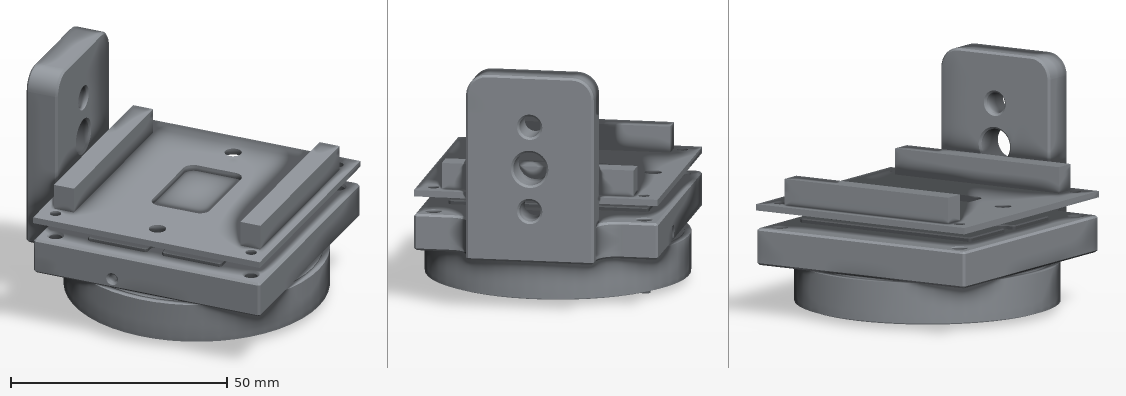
import cadquery as cq
import math


OVERALL_LENGTH = 67.4
EDGE_CHAMFER = 0.5

RING_DIAMETER = 61.7
RING_FACE_DIAMETER = 58.7
RING_THICKNESS = 10.25
RING_TOP_STEP = 0.3
RING_BOTTOM_STEP = 0.5
SPIGOT_DIAMETER = 46.7
SPIGOT_HEIGHT = 5.0
LOCK_PIN_DIAMETER = 2.3
LOCK_PIN_LENGTH = 1.0
LOCK_PIN_RADIUS = 26.55
LOCK_PIN_ANGLE = -120.0

PLATE_SIDE = 57.3
PLATE_THICKNESS = 8.6
UPRIGHT_WIDTH = 30.0
UPRIGHT_HEIGHT = 44.0
UPRIGHT_CORNER_RADIUS = 5.0
FLARE_RADIUS = 5.0
GUSSET_LEG = 2.0
UPRIGHT_OUTER_X = RING_DIAMETER / 2 - OVERALL_LENGTH
UPRIGHT_INNER_X = -PLATE_SIDE / 2
UPRIGHT_THICKNESS = UPRIGHT_INNER_X - UPRIGHT_OUTER_X

UPRIGHT_HOLE_SPACING = 10.0
UPRIGHT_CENTRE_HOLE_Z = 22.1
UPRIGHT_CENTRE_HOLE_DIAMETER = 7.8
UPRIGHT_SIDE_HOLE_DIAMETER = 5.0

CORNER_HOLE_SPACING = 49.5
PLATE_CORNER_HOLE_DIAMETER = 3.0
RECESS_DIAMETER = 47.0
SET_SCREW_DIAMETER = 2.0
SET_SCREW_X = -8.7
SET_SCREW_Z = 2.35

SENSOR_CENTRE_Y = -0.8
SENSOR_WIDTH = 33.85
SENSOR_LENGTH = 47.0
SENSOR_THICKNESS = 1.0
SENSOR_RIM_CHAMFER = 0.3
SENSOR_NOTCH_WIDTH = 3.65
SCREW_SPACING = 43.15

CONTACT_DIAMETER = 0.3
CONTACT_LENGTH = 0.5
CONTACT_ROWS = 31
CONTACT_COLUMNS = 4
CONTACT_BLOCK_LENGTH = 36.8
CONTACT_BLOCK_WIDTH = 3.7
CONTACT_BLOCK_X = 12.75

SOCKET_WIDTH = 31.95
SOCKET_LENGTH = 39.5
SOCKET_HEIGHT = 2.7
BOARD_THICKNESS = 1.5
BOARD_CORNER_HOLE_DIAMETER = 2.6
SCREW_HOLE_DIAMETER = 4.0
WINDOW_WIDTH = 14.5
WINDOW_LENGTH = 22.65
WINDOW_CORNER_RADIUS = 2.5
HEADER_WIDTH = 5.05
HEADER_LENGTH = 45.1
HEADER_HEIGHT = 6.15
HEADER_X = 23.6

SENSOR_TOP_Z = PLATE_THICKNESS + SENSOR_THICKNESS
SOCKET_BOTTOM_Z = SENSOR_TOP_Z + CONTACT_LENGTH
BOARD_BOTTOM_Z = SOCKET_BOTTOM_Z + SOCKET_HEIGHT
BOARD_TOP_Z = BOARD_BOTTOM_Z + BOARD_THICKNESS

CORNER_HOLE_POINTS = [
    (x * CORNER_HOLE_SPACING / 2, y * CORNER_HOLE_SPACING / 2) for x in (-1, 1) for y in (-1, 1)
]
SCREW_POINTS = [(0, SENSOR_CENTRE_Y + side * SCREW_SPACING / 2) for side in (-1, 1)]


def chamfered_hole(plane, diameter, depth):
    """Cutter that starts at the plane's origin and runs along its normal, with a wider mouth."""
    bore = cq.Workplane(plane).circle(diameter / 2).extrude(depth)
    mouth = (
        cq.Workplane(plane)
        .circle(diameter / 2 + EDGE_CHAMFER)
        .workplane(offset=EDGE_CHAMFER)
        .circle(diameter / 2)
        .loft()
    )
    return bore.union(mouth)


def make_mount_ring():
    """Disc with a stepped rim on both faces, a spigot on top and a lock pin below."""
    face = cq.Workplane("XY").circle(RING_FACE_DIAMETER / 2).extrude(-RING_THICKNESS)
    rim = (
        cq.Workplane("XY", origin=(0, 0, -RING_TOP_STEP))
        .circle(RING_DIAMETER / 2)
        .extrude(-(RING_THICKNESS - RING_TOP_STEP - RING_BOTTOM_STEP))
    )
    pin_angle = math.radians(LOCK_PIN_ANGLE)
    pin_x = LOCK_PIN_RADIUS * math.cos(pin_angle)
    pin_y = LOCK_PIN_RADIUS * math.sin(pin_angle)
    lock_pin = (
        cq.Workplane("XY", origin=(pin_x, pin_y, -RING_THICKNESS))
        .circle(LOCK_PIN_DIAMETER / 2)
        .extrude(-LOCK_PIN_LENGTH)
    )
    spigot = cq.Workplane("XY").circle(SPIGOT_DIAMETER / 2).extrude(SPIGOT_HEIGHT)
    return face.union(rim).union(spigot).union(lock_pin)


def make_bracket_base():
    """Plate and the foot of the upright, joined by concave flares in plan."""
    plate = cq.Workplane("XY").rect(PLATE_SIDE, PLATE_SIDE).extrude(PLATE_THICKNESS)
    plate = plate.edges("|Z").chamfer(EDGE_CHAMFER)
    foot = (
        cq.Workplane("XY", origin=(UPRIGHT_OUTER_X + UPRIGHT_THICKNESS / 2, 0, 0))
        .rect(UPRIGHT_THICKNESS, UPRIGHT_WIDTH)
        .extrude(PLATE_THICKNESS)
    )
    foot = foot.edges("|Z and <X").chamfer(EDGE_CHAMFER)
    inner_corners = cq.selectors.BoxSelector(
        (UPRIGHT_INNER_X - 0.7, -UPRIGHT_WIDTH / 2 - 0.7, -0.7),
        (UPRIGHT_INNER_X + 0.7, UPRIGHT_WIDTH / 2 + 0.7, PLATE_THICKNESS + 0.7),
    )
    base = plate.union(foot)
    base = base.edges(inner_corners).edges("|Z").fillet(FLARE_RADIUS)
    return base.faces(">Z").edges().chamfer(EDGE_CHAMFER)


def make_upright():
    """Standing plate with two rounded top corners and chamfered faces."""
    upright = (
        cq.Workplane("YZ", origin=(UPRIGHT_OUTER_X, 0, 0))
        .rect(UPRIGHT_WIDTH, 2 * UPRIGHT_HEIGHT)
        .extrude(UPRIGHT_THICKNESS)
        .edges("|X")
        .fillet(UPRIGHT_CORNER_RADIUS)
    )
    upright = upright.faces("<X or >X").edges().chamfer(EDGE_CHAMFER)
    upper_half = cq.Workplane("XY").box(
        3 * OVERALL_LENGTH, OVERALL_LENGTH, OVERALL_LENGTH, centered=(True, True, False)
    )
    return upright.intersect(upper_half)


def make_gusset():
    """Sloped web along the inside corner of upright and plate, narrower further from the upright."""
    half_width = UPRIGHT_WIDTH / 2
    start_x = UPRIGHT_INNER_X - EDGE_CHAMFER
    end_x = UPRIGHT_INNER_X + GUSSET_LEG
    end_half_width = half_width - (end_x - start_x)
    slope = (
        cq.Workplane("XZ", origin=(0, half_width, 0))
        .moveTo(start_x, PLATE_THICKNESS + GUSSET_LEG + EDGE_CHAMFER)
        .lineTo(end_x, PLATE_THICKNESS)
        .lineTo(start_x, PLATE_THICKNESS)
        .close()
        .extrude(UPRIGHT_WIDTH)
    )
    plan = (
        cq.Workplane("XY", origin=(0, 0, PLATE_THICKNESS))
        .polyline(
            [
                (start_x, -half_width),
                (end_x, -end_half_width),
                (end_x, end_half_width),
                (start_x, half_width),
            ]
        )
        .close()
        .extrude(2 * GUSSET_LEG)
    )
    return slope.intersect(plan)


def make_bracket():
    """Base, upright and gusset, with the recess for the ring and all the screw holes."""
    bracket = make_bracket_base().union(make_upright()).union(make_gusset())
    bracket = bracket.faces("<Z").edges().chamfer(EDGE_CHAMFER)

    for step, diameter in [
        (-1, UPRIGHT_SIDE_HOLE_DIAMETER),
        (0, UPRIGHT_CENTRE_HOLE_DIAMETER),
        (1, UPRIGHT_SIDE_HOLE_DIAMETER),
    ]:
        hole_z = UPRIGHT_CENTRE_HOLE_Z + step * UPRIGHT_HOLE_SPACING
        for face_x, inward in [(UPRIGHT_OUTER_X, 1), (UPRIGHT_INNER_X, -1)]:
            face = cq.Plane(origin=(face_x, 0, hole_z), xDir=(0, 1, 0), normal=(inward, 0, 0))
            bracket = bracket.cut(chamfered_hole(face, diameter, UPRIGHT_THICKNESS))

    for x, y in CORNER_HOLE_POINTS:
        top_face = cq.Plane(origin=(x, y, PLATE_THICKNESS), xDir=(1, 0, 0), normal=(0, 0, -1))
        bracket = bracket.cut(chamfered_hole(top_face, PLATE_CORNER_HOLE_DIAMETER, PLATE_THICKNESS))

    recess = cq.Workplane("XY").circle(RECESS_DIAMETER / 2).extrude(SPIGOT_HEIGHT)
    bracket = bracket.cut(recess)

    side_face = cq.Plane(
        origin=(SET_SCREW_X, -PLATE_SIDE / 2, SET_SCREW_Z), xDir=(1, 0, 0), normal=(0, 1, 0)
    )
    return bracket.cut(chamfered_hole(side_face, SET_SCREW_DIAMETER, PLATE_SIDE / 2))


def make_sensor():
    """Flat package with a screw notch at each end and rows of pins standing on it."""
    package = (
        cq.Workplane("XY", origin=(0, SENSOR_CENTRE_Y, PLATE_THICKNESS))
        .rect(SENSOR_WIDTH, SENSOR_LENGTH)
        .extrude(SENSOR_THICKNESS)
    )
    for side in (-1, 1):
        slot_centre_y = SENSOR_CENTRE_Y + side * SCREW_SPACING
        notch = (
            cq.Workplane("XY", origin=(0, slot_centre_y, PLATE_THICKNESS))
            .slot2D(SCREW_SPACING + SENSOR_NOTCH_WIDTH, SENSOR_NOTCH_WIDTH, 90)
            .extrude(SENSOR_THICKNESS)
        )
        package = package.cut(notch)
    package = package.edges("|Z and (<Y or >Y)").chamfer(EDGE_CHAMFER)
    package = package.faces(">Z").edges().chamfer(SENSOR_RIM_CHAMFER)

    row_pitch = CONTACT_BLOCK_LENGTH / (CONTACT_ROWS - 1)
    column_pitch = CONTACT_BLOCK_WIDTH / (CONTACT_COLUMNS - 1)
    for side in (-1, 1):
        contacts = (
            cq.Workplane("XY", origin=(side * CONTACT_BLOCK_X, SENSOR_CENTRE_Y, SENSOR_TOP_Z))
            .rarray(column_pitch, row_pitch, CONTACT_COLUMNS, CONTACT_ROWS)
            .circle(CONTACT_DIAMETER / 2)
            .extrude(CONTACT_LENGTH)
        )
        package = package.union(contacts)
    return package


def make_board():
    """Circuit board with the sensor socket, two headers, a window and its screw holes."""
    socket = (
        cq.Workplane("XY", origin=(0, SENSOR_CENTRE_Y, SOCKET_BOTTOM_Z))
        .rect(SOCKET_WIDTH, SOCKET_LENGTH)
        .extrude(SOCKET_HEIGHT)
    )
    board = (
        cq.Workplane("XY", origin=(0, 0, BOARD_BOTTOM_Z))
        .rect(PLATE_SIDE, PLATE_SIDE)
        .extrude(BOARD_THICKNESS)
    )
    window = (
        cq.Workplane("XY", origin=(0, 0, BOARD_BOTTOM_Z))
        .rect(WINDOW_WIDTH, WINDOW_LENGTH)
        .extrude(BOARD_THICKNESS)
        .edges("|Z")
        .fillet(WINDOW_CORNER_RADIUS)
    )
    corner_holes = (
        cq.Workplane("XY", origin=(0, 0, BOARD_BOTTOM_Z))
        .pushPoints(CORNER_HOLE_POINTS)
        .circle(BOARD_CORNER_HOLE_DIAMETER / 2)
        .extrude(BOARD_THICKNESS)
    )
    headers = (
        cq.Workplane("XY", origin=(0, 0, BOARD_TOP_Z))
        .pushPoints([(-HEADER_X, 0), (HEADER_X, 0)])
        .rect(HEADER_WIDTH, HEADER_LENGTH)
        .extrude(HEADER_HEIGHT)
    )
    screw_holes = (
        cq.Workplane("XY", origin=(0, 0, SOCKET_BOTTOM_Z))
        .pushPoints(SCREW_POINTS)
        .circle(SCREW_HOLE_DIAMETER / 2)
        .extrude(SOCKET_HEIGHT + BOARD_THICKNESS)
    )
    return board.cut(window).cut(corner_holes).union(socket).cut(screw_holes).union(headers)


mount_ring = make_mount_ring()
bracket = make_bracket()
sensor = make_sensor()
board = make_board()

result = cq.Compound.makeCompound(
    [mount_ring.val(), bracket.val(), sensor.val(), board.val()]
)